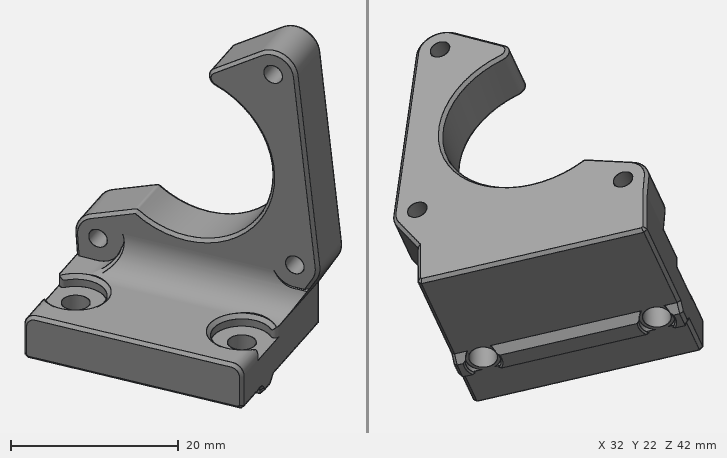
import cadquery as cq
import math


base_width = 28.8
base_depth = 22.0
base_height = 6.1
half_width = base_width / 2
edge_chamfer = 0.4
side_round = 1.55

plate_thickness = 7.0
bore_radius = 11.3
hole_offset_short = 11.5
hole_offset_long = 14.35
boss_radius = 3.1
boss_hole_radius = 1.2
lower_arm_slope = 20.5
upper_arm_slope = 32.9
peak_round = 0.5
tip_round = 1.25
plate_root = base_height / 2
bore_z = base_height + boss_radius + hole_offset_long

rib_radius = 4.5

screw_x = 10.9
screw_y = -14.65
screw_radius = 1.72
seat_radius = 3.75
seat_depth = 1.5
seat_chamfer = 0.5
seat_mouth_round = 0.5

key_height = 0.95
key_back = 1.6
key_front = 1.5
key_relief = 0.45
key_gap_radius = 2.15
key_gap_chamfer = 0.2

left_boss = (-hole_offset_short, bore_z - hole_offset_long)
right_boss = (hole_offset_long, bore_z - hole_offset_short)
top_boss = (hole_offset_short, bore_z + hole_offset_long)


def boss_point(boss, angle):
    """Point on the rim of a boss, at an angle in degrees from +X."""
    turn = math.radians(angle)
    return (boss[0] + boss_radius * math.cos(turn), boss[1] + boss_radius * math.sin(turn))


def tangent_angle(corner, boss, side):
    """Rim angle where a line from the corner touches the boss, on its left (1) or right (-1)."""
    dx = corner[0] - boss[0]
    dz = corner[1] - boss[1]
    spread = math.acos(boss_radius / math.hypot(dx, dz))
    return math.degrees(math.atan2(dz, dx) - side * spread)


def nearest_to_bore(boss, angle):
    """Point nearest the bore axis on the line touching the boss at the angle."""
    turn = math.radians(angle)
    x, z = boss_point(boss, angle)
    distance = x * math.cos(turn) + (z - bore_z) * math.sin(turn)
    return (distance * math.cos(turn), bore_z + distance * math.sin(turn))


def outline_prism(depth):
    """Plate outline without the bore, from Y = 0 forward to the given depth."""
    left_corner = (-half_width, base_height)
    right_corner = (half_width, base_height)
    left_start = tangent_angle(left_corner, left_boss, 1) % 360
    left_end = 90 + lower_arm_slope
    top_start = 90 + upper_arm_slope
    right_side = math.degrees(
        math.atan2(hole_offset_long - hole_offset_short, hole_offset_long + hole_offset_short)
    )
    right_end = tangent_angle(right_corner, right_boss, -1)
    return (
        cq.Workplane("XZ")
        .moveTo(-half_width, plate_root)
        .lineTo(*left_corner)
        .lineTo(*boss_point(left_boss, left_start))
        .threePointArc(
            boss_point(left_boss, (left_start + left_end) / 2), boss_point(left_boss, left_end)
        )
        .lineTo(*nearest_to_bore(left_boss, left_end))
        .lineTo(*nearest_to_bore(top_boss, top_start))
        .lineTo(*boss_point(top_boss, top_start))
        .threePointArc(
            boss_point(top_boss, (top_start + right_side) / 2), boss_point(top_boss, right_side)
        )
        .lineTo(*boss_point(right_boss, right_side))
        .threePointArc(
            boss_point(right_boss, (right_side + right_end) / 2), boss_point(right_boss, right_end)
        )
        .lineTo(*right_corner)
        .lineTo(half_width, plate_root)
        .close()
        .extrude(depth)
    )


def rod(x, z, radius, start, depth):
    """Cylinder along Y, running forward from the given start."""
    return cq.Workplane("XZ", origin=(x, start, z)).circle(radius).extrude(depth)


def arm_end(boss, angle, side):
    """Where the line touching the boss at the angle runs into the bore."""
    turn = math.radians(angle)
    x, z = nearest_to_bore(boss, angle)
    run = side * math.sqrt(bore_radius**2 - x**2 - (z - bore_z) ** 2)
    return (x - run * math.sin(turn), -plate_thickness / 2, z + run * math.cos(turn))


def make_plate():
    """Upright plate with rounded arm ends and chamfered rims, its foot inside the base."""
    plate = outline_prism(plate_thickness).cut(rod(0, bore_z, bore_radius, 0, plate_thickness))
    peak = arm_end(left_boss, 90 + lower_arm_slope, 1)
    tip = arm_end(top_boss, 90 + upper_arm_slope, -1)
    plate = plate.edges(cq.NearestToPointSelector(peak)).fillet(peak_round)
    plate = plate.edges(cq.NearestToPointSelector(tip)).fillet(tip_round)
    return plate.faces("<Y or >Y").edges().chamfer(edge_chamfer)


def make_key():
    """Full-width key on the underside, sloping at the back and relieved at the front."""
    return (
        cq.Workplane("YZ", origin=(-half_width, screw_y, 0))
        .moveTo(key_back, 0)
        .lineTo(key_back - key_height, -key_height)
        .lineTo(-key_front, -key_height)
        .lineTo(-key_front, -key_relief)
        .lineTo(-key_front - key_relief, 0)
        .close()
        .extrude(base_width)
    )


def base_block(front, depth):
    """Full-height block of the base from the given front Y backward."""
    block = cq.Workplane("XY", origin=(0, front, 0))
    return block.box(base_width, depth, base_height, centered=(True, False, False))


def make_base():
    """Block with its key; the upper side edges are rounded in front of the screws."""
    front_block = base_block(-base_depth, base_depth + screw_y)
    front_block = front_block.edges("|Y and >Z").fillet(side_round)
    base = base_block(screw_y, -screw_y).union(front_block).union(make_key())
    for side in ("<X", ">X"):
        end_edges = base.faces(side).edges()
        base = end_edges.filter(lambda edge: edge.Center().z < edge_chamfer).chamfer(edge_chamfer)
    base = base.faces("<Y").edges().chamfer(edge_chamfer)
    return base.faces(">Y").edges("not >Z").chamfer(edge_chamfer)


def make_rib():
    """Concave rib, trimmed to the plate outline and cleared around the two lower bosses."""
    buried = edge_chamfer
    rib_back = -plate_thickness + buried
    rib_front = -plate_thickness - rib_radius
    rib_top = base_height + rib_radius
    length = base_width + 2 * boss_radius
    rib = (
        cq.Workplane("YZ", origin=(-length / 2, 0, 0))
        .moveTo(rib_back, base_height - buried)
        .lineTo(rib_front, base_height - buried)
        .lineTo(rib_front, base_height)
        .radiusArc((-plate_thickness, rib_top), -rib_radius)
        .lineTo(rib_back, rib_top)
        .close()
        .extrude(length)
    )
    rib = rib.intersect(outline_prism(base_depth))
    for (x, z), outward in ((left_boss, -1), (right_boss, 1)):
        opening = (
            cq.Workplane("XZ", origin=(x, rib_back, z))
            .center(outward * boss_radius, rib_radius - boss_radius)
            .rect(2 * boss_radius, 2 * rib_radius)
            .extrude(base_depth)
        )
        rib = rib.cut(rod(x, z, boss_radius, rib_back, base_depth)).cut(opening)
    return rib


def disc(radius, bottom, height):
    """Cylinder along Z on the screw axis."""
    return cq.Workplane("XY", origin=(0, 0, bottom)).circle(radius).extrude(height)


def cone(bottom_radius, top_radius, bottom, height):
    """Truncated cone along Z on the screw axis."""
    lower = cq.Workplane("XY", origin=(0, 0, bottom)).circle(bottom_radius)
    return lower.workplane(offset=height).circle(top_radius).loft()


def make_seat(height):
    """Round screw seat opening toward +X through a mouth with rounded corners."""
    wall = half_width - screw_x
    corner_x = wall - seat_mouth_round
    reach = seat_radius + seat_mouth_round
    corner_y = math.sqrt(reach**2 - corner_x**2)
    touch_x = corner_x * seat_radius / reach
    touch_y = corner_y * seat_radius / reach
    return (
        cq.Workplane("XY", origin=(0, 0, base_height - seat_depth))
        .moveTo(wall, -corner_y)
        .radiusArc((touch_x, -touch_y), -seat_mouth_round)
        .threePointArc((-seat_radius, 0), (touch_x, touch_y))
        .radiusArc((wall, corner_y), -seat_mouth_round)
        .close()
        .extrude(height)
    )


def make_screw_cut():
    """Everything removed at the right screw: shank, seat, seat rim and the gap in the key."""
    rim_radius = seat_radius + seat_chamfer
    gap_mouth_radius = key_gap_radius + key_gap_chamfer
    cut = make_seat(seat_depth + rib_radius)
    cut = cut.union(cone(seat_radius, rim_radius, base_height - seat_chamfer, seat_chamfer))
    cut = cut.union(disc(rim_radius, base_height, rib_radius))
    cut = cut.union(disc(screw_radius, 0, base_height))
    cut = cut.union(disc(key_gap_radius, -key_height, key_height))
    cut = cut.union(cone(gap_mouth_radius, key_gap_radius, -key_height, key_gap_chamfer))
    return cut.translate((screw_x, screw_y, 0))


def chamfer_left_clearance(body):
    """Break the curved edge between the rib and the clearance of the left boss."""
    edge_middle = (
        left_boss[0] + boss_radius * math.cos(math.pi / 4),
        -plate_thickness - rib_radius / 3,
        left_boss[1] - boss_radius * math.sin(math.pi / 4),
    )
    return body.edges(cq.NearestToPointSelector(edge_middle)).chamfer(edge_chamfer)


result = make_plate().union(make_base()).union(make_rib())

screw_cut = make_screw_cut()
result = result.cut(screw_cut).cut(screw_cut.mirror("YZ"))
result = chamfer_left_clearance(result)

for boss_x, boss_z in (left_boss, right_boss, top_boss):
    result = result.cut(rod(boss_x, boss_z, boss_hole_radius, 0, plate_thickness))